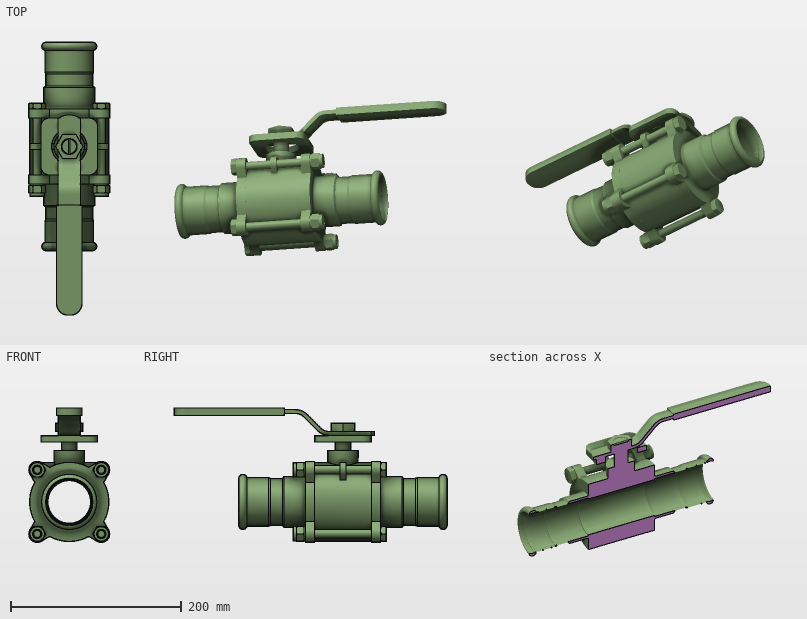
import cadquery as cq
import math


pipe_half_length = 122.5
bore_diameter = 50.0
socket_diameter = 54.5
socket_end_y = 85.0
sleeve_diameter = 57.5
sleeve_start_y = 87.5
neck_diameter = 55.5
neck_bore_diameter = 53.0
hub_diameter = 60.3
hub_end_y = 70.8
hub_chamfer = 1.5
hub_fillet = 1.5
bead_width = 10.0
mouth_diameter = 54.8
seal_groove_diameter = 56.0
seal_groove_width = 4.8

body_diameter = 93.0
flange_diameter = 93.3
body_half_length = 33.3
flange_thickness = 11.0
flange_outer_y = body_half_length + flange_thickness
bolt_circle_diameter = 106.5
bolt_offset = bolt_circle_diameter / 2 * math.sqrt(0.5)
boss_radius = 10.0
boss_flank_length = 14.5
boss_flank_angle = 60.0
lug_width = 7.0
lug_radius = body_diameter / 2 - bolt_offset

bolt_diameter = 10.0
hex_flats = 17.3
hex_chamfer_diameter = 18.0
head_height = 6.7
nut_height = 10.5
nut_collar_diameter = 17.0
nut_collar_height = 4.0
nut_recess_diameter = 11.0
bolt_tip_diameter = 8.3
washer_face_diameter = 17.0
washer_face_height = 1.3

collar_diameter = 36.0
collar_top_z = 60.5
stem_diameter = 18.5
stem_chamfer = 0.8
plate_side = 66.7
plate_corner_radius = 10.0
plate_bottom_z = 70.2
plate_thickness = 7.7
plate_hole_diameter = 41.5
stem_nut_flats = 28.0
stem_nut_height = 10.0
slot_width = 1.3
slot_depth = 2.0

strip_width = 26.0
strip_thickness = 4.8
strip_tail_y = 37.2
tail_arc_rise = 4.5
bend_start_y = -16.0
bend_inner_radius = 14.5
bend_angle = 45.0
grip_start_y = -69.0
grip_end_y = -198.0
grip_width = 30.0
grip_thickness = 9.0
grip_corner_radius = 13.8
grip_top_z = 110.3
strip_above_grip_centre = 0.3

lever_bottom_z = plate_bottom_z + plate_thickness
lever_top_z = lever_bottom_z + strip_thickness
strip_high_z = grip_top_z - grip_thickness / 2 + strip_above_grip_centre


def cylinder_y(diameter, start_y, end_y, x=0, z=0):
    """Cylinder along Y between two Y positions."""
    disc = cq.Workplane("XZ", origin=(x, start_y, z)).circle(diameter / 2)
    return disc.extrude(start_y - end_y)


def prism_y(outline, start_y, end_y):
    """Closed X-Z outline extruded along Y."""
    return cq.Workplane("XZ", origin=(0, start_y, 0)).polyline(outline).close().extrude(start_y - end_y)


def hex_y(flats, start_y, end_y, x, z):
    """Hexagon along Y with corners toward +X and -X and both end faces chamfered round."""
    corners = flats / math.cos(math.pi / 6)
    bar = cq.Workplane("XZ", origin=(x, start_y, z)).polygon(6, corners).extrude(start_y - end_y)
    chamfer = (corners - hex_chamfer_diameter) / 2
    envelope = cylinder_y(corners, start_y, end_y, x, z).faces("<Y or >Y").chamfer(chamfer)
    return bar.intersect(envelope)


def make_pipe_end():
    """Stub on the +Y side before boring, revolved around the flow axis."""
    hub_radius = hub_diameter / 2
    sleeve_radius = sleeve_diameter / 2
    mouth_radius = mouth_diameter / 2
    bead_radius = bead_width / 2
    bead_mid_y = pipe_half_length - bead_radius
    bead_root_y = bead_mid_y - math.sqrt(bead_radius**2 - (sleeve_radius - mouth_radius) ** 2)
    bead_crest = (mouth_radius + bead_radius, bead_mid_y)
    return (
        cq.Workplane("XY")
        .moveTo(0, body_half_length)
        .lineTo(hub_radius, body_half_length)
        .lineTo(hub_radius, hub_end_y - hub_chamfer)
        .lineTo(neck_diameter / 2, hub_end_y)
        .lineTo(neck_diameter / 2, socket_end_y)
        .lineTo(sleeve_radius, sleeve_start_y)
        .lineTo(sleeve_radius, bead_root_y)
        .threePointArc(bead_crest, (mouth_radius, pipe_half_length))
        .lineTo(0, pipe_half_length)
        .close()
        .revolve(360, (0, 0, 0), (0, 1, 0))
    )


def flank_outline():
    """Wedge at the (+X, +Z) boss, bounded by two lines tangent to the boss and mirrored on the diagonal."""
    angle = math.radians(boss_flank_angle)
    tangent_x = bolt_offset + boss_radius * math.sin(angle)
    tangent_z = bolt_offset - boss_radius * math.cos(angle)
    root_x = tangent_x - boss_flank_length * math.cos(angle)
    root_z = tangent_z - boss_flank_length * math.sin(angle)
    return [(tangent_x, tangent_z), (root_x, root_z), (root_z, root_x), (tangent_z, tangent_x)]


def make_flange():
    """Round flange on the +Y side with four bolt bosses."""
    span = (body_half_length, flange_outer_y)
    flange = cylinder_y(flange_diameter, *span)
    for x_side in (-1, 1):
        for z_side in (-1, 1):
            outline = [(x_side * x, z_side * z) for x, z in flank_outline()]
            flange = flange.union(prism_y(outline, *span))
            flange = flange.union(
                cylinder_y(2 * boss_radius, *span, x_side * bolt_offset, z_side * bolt_offset)
            )
    return flange


def make_lug(x_side):
    """Flat-topped arm that reaches from the body around an upper bolt."""
    span = (-lug_width / 2, lug_width / 2)
    diagonal = lug_radius * math.sqrt(0.5)
    top_z = bolt_offset + lug_radius
    low_x = bolt_offset + diagonal
    low_z = bolt_offset - diagonal
    inner_x = collar_diameter / 4
    outline = [
        (inner_x, top_z),
        (bolt_offset, top_z),
        (low_x, low_z),
        (low_x - boss_flank_length, low_z - boss_flank_length),
        (inner_x, low_z - boss_flank_length),
    ]
    arm = prism_y([(x_side * x, z) for x, z in outline], *span)
    return arm.union(cylinder_y(2 * lug_radius, *span, x_side * bolt_offset, bolt_offset))


def make_bolt(x, z):
    """Bolt with its head on the +Y side and a washer-faced, collared nut on the -Y side."""
    nut_start_y = -flange_outer_y - washer_face_height
    nut_end_y = -flange_outer_y - nut_height
    tip_y = nut_end_y - nut_collar_height
    tip_chamfer = (bolt_diameter - bolt_tip_diameter) / 2
    bolt = hex_y(hex_flats, flange_outer_y, flange_outer_y + head_height, x, z)
    bolt = bolt.union(cylinder_y(washer_face_diameter, nut_start_y, -flange_outer_y, x, z))
    bolt = bolt.union(hex_y(hex_flats, nut_end_y, nut_start_y, x, z))
    bolt = bolt.union(cylinder_y(nut_collar_diameter, tip_y, nut_end_y, x, z))
    bolt = bolt.cut(cylinder_y(nut_recess_diameter, tip_y, tip_y + tip_chamfer, x, z))
    shank = cylinder_y(bolt_diameter, tip_y, flange_outer_y, x, z)
    return bolt.union(shank.faces("<Y").chamfer(tip_chamfer))


def make_stem():
    """Collar, stem and slotted stem nut."""
    nut_top_z = lever_top_z + stem_nut_height
    collar = cq.Workplane("XY").circle(collar_diameter / 2).extrude(collar_top_z)
    stem = (
        cq.Workplane("XY").circle(stem_diameter / 2).extrude(nut_top_z).faces(">Z").chamfer(stem_chamfer)
    )
    nut = (
        cq.Workplane("XY", origin=(0, 0, lever_top_z))
        .polygon(6, stem_nut_flats / math.cos(math.pi / 6))
        .extrude(stem_nut_height)
        .faces(">Z")
        .workplane()
        .hole(stem_diameter)
    )
    slot = (
        cq.Workplane("XY", origin=(0, 0, nut_top_z - slot_depth))
        .rect(slot_width, stem_diameter)
        .extrude(slot_depth)
    )
    return collar.union(stem).union(nut).cut(slot)


def make_plate():
    """Square stop plate with a clearance hole around the stem."""
    return (
        cq.Workplane("XY", origin=(0, 0, plate_bottom_z))
        .rect(plate_side, plate_side)
        .extrude(plate_thickness)
        .edges("|Z")
        .fillet(plate_corner_radius)
        .faces(">Z")
        .workplane()
        .hole(plate_hole_diameter)
    )


def make_lever():
    """Strip with an arc-ended tail and two opposite bends, ending in a thick grip."""
    mid = strip_thickness / 2
    bend_radius = bend_inner_radius + mid
    angle = math.radians(bend_angle)
    low_z = lever_bottom_z + mid
    bend_run = bend_radius * math.sin(angle)
    bend_rise = bend_radius * (1 - math.cos(angle))
    ramp_rise = strip_high_z + mid - lever_top_z - 2 * bend_rise
    ramp_start = (bend_start_y - bend_run, low_z + bend_rise)
    ramp_end = (ramp_start[0] - ramp_rise / math.tan(angle), ramp_start[1] + ramp_rise)
    path = (
        cq.Workplane("YZ")
        .moveTo(strip_tail_y, low_z)
        .lineTo(bend_start_y, low_z)
        .tangentArcPoint(ramp_start, relative=False)
        .lineTo(*ramp_end)
        .tangentArcPoint((ramp_end[0] - bend_run, strip_high_z), relative=False)
        .lineTo(grip_start_y, strip_high_z)
    )
    strip = (
        cq.Workplane("XZ", origin=(0, strip_tail_y, low_z)).rect(strip_width, strip_thickness).sweep(path)
    )
    half_width = strip_width / 2
    tail_shoulder_y = strip_tail_y - tail_arc_rise
    trim = (
        cq.Workplane("XY", origin=(0, 0, lever_bottom_z))
        .moveTo(-half_width, grip_end_y)
        .lineTo(-half_width, tail_shoulder_y)
        .threePointArc((0, strip_tail_y), (half_width, tail_shoulder_y))
        .lineTo(half_width, grip_end_y)
        .close()
        .extrude(grip_top_z - lever_bottom_z)
    )
    grip_length = grip_start_y - grip_end_y
    grip = (
        cq.Workplane("XY", origin=(0, grip_end_y + grip_length / 2, grip_top_z - grip_thickness))
        .rect(grip_width, grip_length)
        .extrude(grip_thickness)
        .edges("|Z and <Y")
        .fillet(grip_corner_radius)
    )
    return strip.intersect(trim).union(grip)


def make_bore():
    """Through bore, stepped wider toward both pipe ends, with a seal groove inside each bead."""
    bore = cylinder_y(bore_diameter, -pipe_half_length, pipe_half_length)
    groove_start_y = pipe_half_length - (bead_width + seal_groove_width) / 2
    widenings = [
        (neck_bore_diameter, flange_outer_y, sleeve_start_y),
        (socket_diameter, sleeve_start_y, pipe_half_length),
        (mouth_diameter, pipe_half_length - bead_width, pipe_half_length),
        (seal_groove_diameter, groove_start_y, groove_start_y + seal_groove_width),
    ]
    for diameter, start_y, end_y in widenings:
        bore = bore.union(cylinder_y(diameter, start_y, end_y))
        bore = bore.union(cylinder_y(diameter, -end_y, -start_y))
    return bore


def make_end():
    """Flange and pipe stub on the +Y side, with a fillet where the hub meets the flange face."""
    reach = hub_diameter / 2 + hub_fillet
    hub_root = cq.selectors.BoxSelector(
        (-reach, flange_outer_y - hub_fillet, -reach), (reach, flange_outer_y + hub_fillet, reach)
    )
    return make_flange().union(make_pipe_end()).edges(hub_root).fillet(hub_fillet)


end = make_end()
result = cylinder_y(body_diameter, -body_half_length, body_half_length)
result = result.union(end).union(end.mirror("XZ"))
result = result.union(make_stem())
for x_side in (-1, 1):
    result = result.union(make_lug(x_side))
    for z_side in (-1, 1):
        result = result.union(make_bolt(x_side * bolt_offset, z_side * bolt_offset))
result = result.cut(make_bore()).union(make_plate()).union(make_lever())